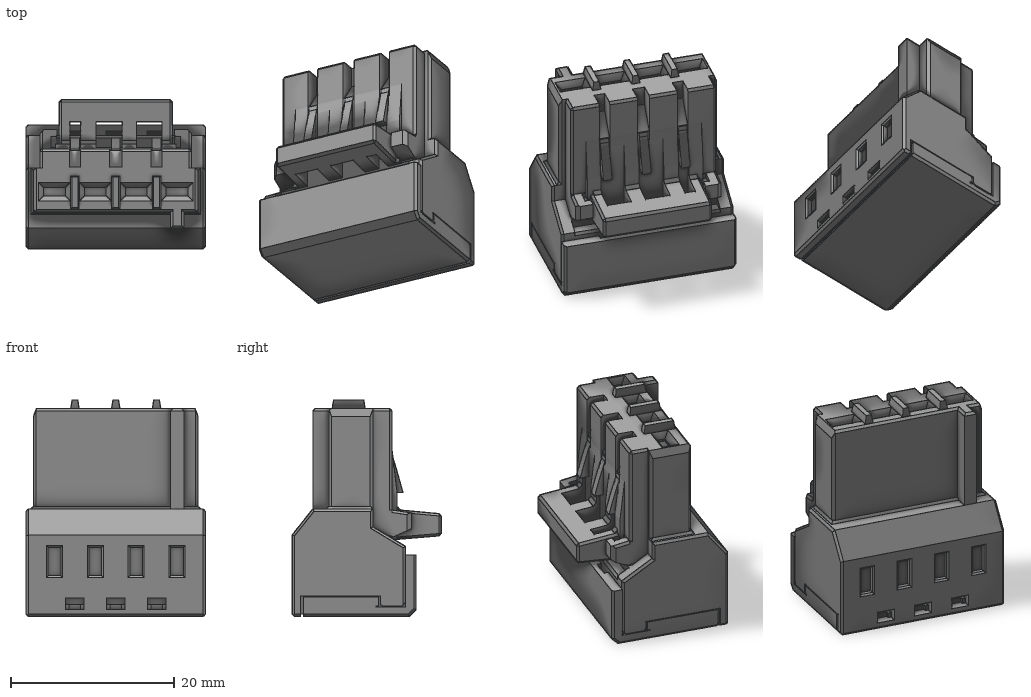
import cadquery as cq


pole_pitch = 5.0
pole_count = 4
gap_count = pole_count - 1
pole_xs = [(index - (pole_count - 1) / 2) * pole_pitch for index in range(pole_count)]
gap_xs = [(index - (gap_count - 1) / 2) * pole_pitch for index in range(gap_count)]

width = 22.0
half_width = width / 2
slope_bottom_z = 10.0
shoulder_z = 13.2
shoulder_front_y = 2.53
shoulder_back_y = 9.9
ramp_top_z = 11.0
ramp_bottom_z = 8.6
wall_back_y = 13.9
edge_break = 0.3
wall_inner_x = 9.3
core_back_y = 12.4
core_step_y = 13.6
core_step_z = 8.4

cap_back_y = 15.2
cap_plate_top_z = 7.55
cap_floor_z = 1.2
cap_corner = 0.85
seat_depth = 0.2
cap_seam_y = 10.6
cap_seam_z = 2.5
cap_front_y = 1.05
cap_foot_y = 1.4
seam_width = 0.2
seam_depth = 0.3
seam_corner = 0.55

tower_top_z = 25.5
tower_half_width = 10.1
tower_front_y = 4.5
tower_back_y = 12.25
column_half_width = wall_inner_x
tower_edge_break = 0.35
top_break = 0.3
side_bevel_x = 0.4
side_bevel_z = 1.0
skirt_height = 0.3
skirt_angle = 45
rib_x = 7.54
rib_width = 1.64

latch_half_width = 6.95
latch_back_y = 18.28
latch_tip_bottom_z = 9.9
latch_tip_top_z = 12.6
latch_root_bottom_z = 9.45
latch_root_top_z = 13.1
latch_break = 0.3

barb_width = 1.1
barb_top_z = 20.4
barb_bottom_z = 15.2
barb_tip_y = 13.58
barb_slot_half_widths = [0.67, 0.77, 0.67]
barb_slot_front_y = 10.04
barb_slot_back_y = 12.06
barb_slot_start_z = 23.0

fin_top_z = 26.55
fin_front_y = 4.9
fin_back_y = 8.95


def box(x0, x1, y0, y1, z0, z1):
    return cq.Workplane("XY").box(x1 - x0, y1 - y0, z1 - z0, centered=False).translate((x0, y0, z0))


def prism(points, x0, x1):
    """Extrude a (Y, Z) outline along X."""
    return cq.Workplane("YZ").polyline(points).close().extrude(x1 - x0).translate((x0, 0, 0))


def both_sides(solid):
    return solid.union(solid.mirror("YZ"))


def repeat(solid, xs):
    """Copies of a solid moved to each X position."""
    copies = solid.translate((xs[0], 0, 0))
    for x in xs[1:]:
        copies = copies.union(solid.translate((x, 0, 0)))
    return copies


def funnel(plane, throat, mouth, depth):
    """Four-sided recess cutter widening from throat to mouth along the plane normal."""
    return (
        cq.Workplane(plane).rect(*throat)
        .workplane(offset=depth).rect(*mouth).loft(ruled=True)
    )


def make_housing():
    seat_z = cap_floor_z - seat_depth
    outline = [
        (0, 0),
        (0, slope_bottom_z),
        (shoulder_front_y, shoulder_z),
        (shoulder_back_y, shoulder_z),
        (shoulder_back_y, ramp_top_z),
        (wall_back_y, ramp_bottom_z),
        (wall_back_y, seat_z),
        (cap_seam_y, seat_z),
        (cap_seam_y, 0),
    ]
    housing = prism(outline, -half_width, half_width)
    housing = housing.faces("<X or >X").chamfer(edge_break)
    housing = housing.edges("|X and <Z and <Y").chamfer(edge_break)
    opening = [
        (core_back_y, shoulder_z),
        (core_back_y, core_step_z),
        (core_step_y, core_step_z),
        (wall_back_y, core_step_z - edge_break),
        (wall_back_y, shoulder_z),
    ]
    return housing.cut(prism(opening, -wall_inner_x, wall_inner_x))


def make_cap():
    outline = [
        (cap_foot_y, 0),
        (cap_foot_y, cap_floor_z),
        (wall_back_y, cap_floor_z),
        (wall_back_y, cap_plate_top_z),
        (cap_back_y, cap_plate_top_z),
        (cap_back_y, cap_corner),
        (cap_back_y - cap_corner, 0),
    ]
    cap = prism(outline, -half_width, half_width)
    cap = cap.faces("<X or >X").edges(">Y or <Z or |(0,1,1)").chamfer(edge_break)
    lead_in_half_width = 1.2
    lead_in = 0.55
    bevel = [
        (wall_back_y, cap_plate_top_z),
        (wall_back_y + lead_in, cap_plate_top_z),
        (wall_back_y, cap_plate_top_z - 2 * lead_in),
    ]
    for x in gap_xs:
        cap = cap.cut(prism(bevel, x - lead_in_half_width, x + lead_in_half_width))
    return cap


def make_cap_seam():
    inner_x = half_width - seam_depth
    floor_z = cap_floor_z
    rear_corner = prism([
        (wall_back_y, floor_z),
        (wall_back_y, floor_z + seam_corner),
        (wall_back_y - seam_corner, floor_z),
    ], inner_x, half_width)
    front_corner = prism([
        (cap_seam_y, floor_z),
        (cap_seam_y, floor_z + seam_corner),
        (cap_seam_y + seam_corner, floor_z),
    ], inner_x, half_width)
    rear = box(inner_x, half_width, cap_seam_y, cap_seam_y + seam_width, floor_z, cap_seam_z)
    upper = box(inner_x, half_width, cap_front_y, cap_seam_y + seam_width,
                cap_seam_z - seam_width / 2, cap_seam_z)
    front = box(inner_x, half_width, cap_front_y, cap_foot_y, 0, cap_seam_z)
    notch = box(0, half_width, cap_front_y, cap_foot_y, 0, edge_break)
    corners = rear_corner.union(front_corner)
    return both_sides(corners.union(rear).union(upper).union(front).union(notch))


def make_tower():
    front = box(-tower_half_width, tower_half_width, tower_front_y, shoulder_back_y, shoulder_z, tower_top_z)
    front = front.edges("|Z").chamfer(tower_edge_break)
    front = front.faces(">Z").edges("<Y").chamfer(top_break)
    side_bevel = (
        cq.Workplane("XZ")
        .polyline([
            (tower_half_width, tower_top_z - side_bevel_z),
            (tower_half_width, tower_top_z),
            (tower_half_width - side_bevel_x, tower_top_z),
        ])
        .close().extrude(-shoulder_back_y)
    )
    front = front.cut(both_sides(side_bevel))

    columns = box(-column_half_width, column_half_width, shoulder_back_y - tower_edge_break,
                  tower_back_y, ramp_bottom_z, tower_top_z)
    columns = columns.edges("(|Z and >Y) or (>Z and (not <Y))").chamfer(top_break)

    rib = box(rib_x - rib_width / 2, rib_x + rib_width / 2, shoulder_front_y,
              tower_front_y + tower_edge_break, shoulder_z - skirt_height, tower_top_z)
    rib = rib.faces(">Z").edges("<Y or <X or >X").chamfer(top_break)

    skirt_depth = shoulder_back_y - tower_front_y + skirt_height
    skirt = (
        cq.Workplane("XY", origin=(0, shoulder_back_y - skirt_depth / 2, shoulder_z))
        .rect(2 * (tower_half_width + skirt_height), skirt_depth)
        .extrude(skirt_height, taper=skirt_angle)
    )
    return front.union(columns).union(rib).union(skirt)


def make_fins():
    base_width = 1.05
    top_width = 0.7
    draft = 0.17
    base_length = fin_back_y - fin_front_y
    fin = (
        cq.Workplane("XY").rect(base_width, base_length)
        .workplane(offset=fin_top_z - tower_top_z).rect(top_width, base_length - 2 * draft)
        .loft(ruled=True)
        .translate((0, (fin_front_y + fin_back_y) / 2, tower_top_z))
    )
    return repeat(fin, gap_xs)


def make_wire_entries():
    mouth = (3.87, 2.25)
    throat = (2.67, 1.02)
    funnel_depth = 0.8
    throat_depth = 0.3
    centre_y = 7.0
    cutter = funnel("XY", throat, mouth, funnel_depth).translate((0, 0, -funnel_depth))
    cutter = cutter.union(cq.Workplane("XY").rect(*throat).extrude(-funnel_depth - throat_depth))
    return repeat(cutter.translate((0, centre_y, tower_top_z)), pole_xs)


def make_front_windows():
    outer = (1.98, 3.88)
    inner = (1.54, 3.46)
    bevel_depth = 0.2
    depth = 0.75
    centre_z = 6.75
    cutter = funnel("XZ", inner, outer, bevel_depth).translate((0, bevel_depth, 0))
    cutter = cutter.union(cq.Workplane("XZ").rect(*inner).extrude(-depth))
    cutter = cutter.translate((0, 0, centre_z))
    return repeat(cutter, pole_xs)


def make_front_slots():
    half = 1.13
    groove_half = 0.71
    bottom_z = 0.85
    ledge_z = 1.46
    top_z = 2.29
    ledge_depth = 0.9
    slot_depth = 1.6
    groove_depth = 1.3
    upper = box(-half, half, 0, slot_depth, ledge_z, top_z)
    lower = box(-half, half, 0, ledge_depth, bottom_z, ledge_z)
    groove = box(-groove_half, groove_half, 0, groove_depth, bottom_z, ledge_z)
    cutter = upper.union(lower).union(groove)
    return repeat(cutter, gap_xs)


def make_latch_arms():
    inner_x = 7.2
    outer_x = column_half_width
    arm_back_y = 14.6
    corner_break = 0.5
    top_root_z = 13.05
    top_tip_z = 12.7
    bottom_tip_z = 10.75
    bottom_root_z = 9.75
    outline = [
        (shoulder_back_y, ramp_top_z - edge_break),
        (shoulder_back_y, top_root_z),
        (tower_back_y, top_root_z),
        (arm_back_y, top_tip_z),
        (arm_back_y, bottom_tip_z),
        (core_back_y, bottom_root_z),
    ]
    arm = prism(outline, inner_x, outer_x)
    arm = arm.edges("|Z and >Y and >X").chamfer(corner_break)
    bevel_triangle = [(0, 0), (-edge_break, 0), (0, -edge_break)]
    top_bevel = (
        cq.Workplane("XZ", origin=(outer_x, tower_back_y, top_root_z))
        .polyline(bevel_triangle).close()
        .workplane(offset=tower_back_y - arm_back_y)
        .center(0, top_tip_z - top_root_z)
        .polyline(bevel_triangle).close()
        .loft(ruled=True)
    )
    pocket_x = 7.95
    pocket_back_y = 13.75
    pocket_floor_z = 12.4
    pocket = box(inner_x, pocket_x, core_back_y, pocket_back_y, pocket_floor_z, tower_top_z)
    return both_sides(arm.cut(top_bevel).cut(pocket))


def make_latch():
    root_y = tower_back_y - edge_break
    foot_y = 13.25
    foot_top_z = 13.5
    ridge_y = 12.85
    ridge_half_width = 7.4
    plate_outline = [
        (root_y, latch_root_bottom_z),
        (ridge_y, latch_root_bottom_z),
        (latch_back_y, latch_tip_bottom_z),
        (latch_back_y, latch_tip_top_z),
        (ridge_y, latch_root_top_z),
        (root_y, latch_root_top_z),
    ]
    plate = prism(plate_outline, -latch_half_width, latch_half_width)
    plate = plate.faces(">Y or <X or >X").chamfer(latch_break)

    ridge_outline = [
        (root_y, latch_root_bottom_z),
        (root_y, barb_top_z),
        (tower_back_y, barb_top_z),
        (ridge_y, barb_bottom_z),
        (ridge_y, latch_root_bottom_z),
    ]
    ridge = prism(ridge_outline, -ridge_half_width, ridge_half_width)
    foot_outline = [
        (root_y, latch_root_top_z - latch_break),
        (root_y, foot_top_z),
        (ridge_y, foot_top_z),
        (foot_y, latch_root_top_z),
        (foot_y, latch_root_top_z - latch_break),
    ]
    foot = prism(foot_outline, latch_break - latch_half_width, latch_half_width - latch_break)
    latch = plate.union(ridge).union(foot)

    window_back_y = 15.55
    window_spans = [(-5.63, -4.3), (-2.39, 0.77), (2.57, 5.65)]
    for x0, x1 in window_spans:
        latch = latch.cut(box(x0, x1, core_back_y, window_back_y, core_step_z, tower_top_z))
    return latch


def make_barb_slots():
    outline = [
        (barb_slot_front_y, tower_top_z),
        (barb_slot_front_y, barb_slot_start_z),
        (barb_slot_back_y, barb_top_z),
        (barb_slot_back_y, barb_bottom_z),
        (tower_back_y, barb_bottom_z),
        (tower_back_y, tower_top_z),
    ]
    slots = cq.Workplane("XY")
    for x, half in zip(gap_xs, barb_slot_half_widths):
        slots = slots.add(prism(outline, x - half, x + half))
    return slots.combine()


def make_barbs():
    root_y = tower_back_y - edge_break
    bow_point = (13.0, 17.3)
    barb = (
        cq.Workplane("YZ")
        .moveTo(root_y, barb_bottom_z)
        .lineTo(root_y, barb_top_z)
        .lineTo(barb_slot_back_y, barb_top_z)
        .threePointArc(bow_point, (barb_tip_y, barb_bottom_z))
        .close().extrude(barb_width / 2, both=True)
    )
    return repeat(barb, gap_xs)


body = make_housing().union(make_cap()).cut(make_cap_seam())
body = body.union(make_tower()).union(make_latch()).union(make_latch_arms())
body = body.cut(make_barb_slots()).union(make_barbs())
body = body.union(make_fins()).cut(make_wire_entries())
result = body.cut(make_front_windows()).cut(make_front_slots())